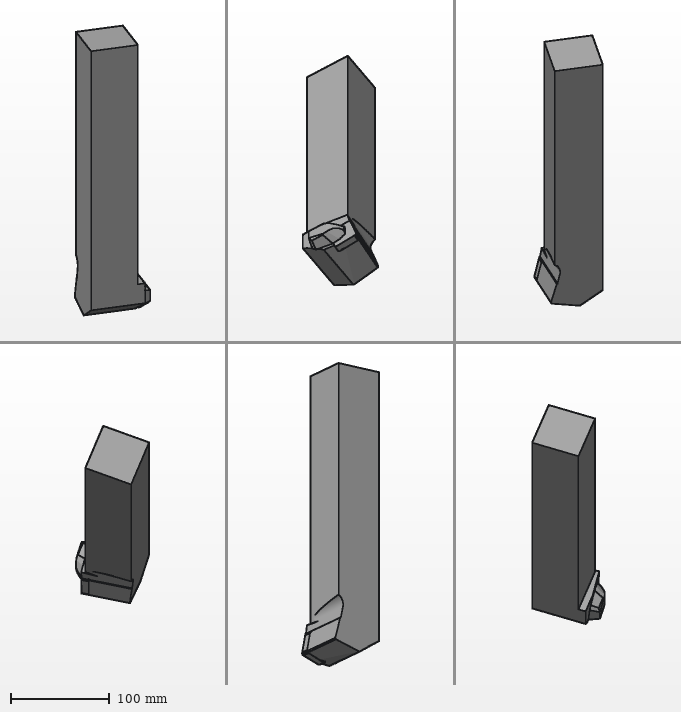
import cadquery as cq
import math

TOTAL_LENGTH = 307.2
SHANK_SIDE = 50.0

HEAD_TOP_Z = 40.2
HEAD_BOTTOM_Z = 2.0
HEAD_THICKNESS = 57.8
HEAD_REACH = 18.5
BEVEL_START_X = 26.5
BEVEL_END_Z = 18.0

INSERT_SIDE = 25.5
INSERT_THICKNESS = 7.7
INSERT_CORNER_RADIUS = 2.5
CUTTING_CORNER_X = -10.8
CUTTING_CORNER_Y = 50.0
APPROACH_ANGLE = 15.0
RAKE_ANGLE = 6.0

SEAT_CORNER_CHAMFER = 1.2
FLANK_STEP = 0.5
RUNOUT_RADIUS = 11.5
RUNOUT_U = 0.0
RUNOUT_V = 37.0
RELIEF_REACH = 92.2

CLAMP_BASE_Y = 49.0
CLAMP_TOP_Y = 68.0
CLAMP_APEX_X = 29.0
CLAMP_APEX_Y = 92.2
CLAMP_CENTRE_Z = 19.0
ROOF_RIDGE_HALF_WIDTH = 5.8
ROOF_HALF_WIDTH = 18.5
ROOF_EAVES_Y = 59.5
CLAMP_PLAN_Y = 55.3
CLAMP_HALF_PLAN = [(1.2, 3.0), (9.5, 9.8), (16.5, 12.5), (35.0, 12.5), (39.3, 9.0)]
NOSE_FOOT = (1.5, 55.3)
NOSE_MIDDLE = (7.5, 62.5)
NOSE_CREST = (16.0, 66.0)
TOP_END = (33.5, CLAMP_TOP_Y)


def tilted_frame():
    """Plane on the insert's outer face: u along its lower edge, v up its left edge, w into the head.

    Its height puts the lowest point of the insert's rounded lower corner at Z = 0.
    """
    slope = math.tan(math.radians(RAKE_ANGLE))
    turn = math.radians(APPROACH_ANGLE)
    lower_edge = cq.Vector(math.cos(turn), slope, -math.sin(turn))
    left_edge = cq.Vector(math.sin(turn), slope, math.cos(turn))
    inward = lower_edge.cross(left_edge)
    frame = cq.Plane(origin=(CUTTING_CORNER_X, CUTTING_CORNER_Y, 0), xDir=lower_edge, normal=inward)
    u_rise = frame.xDir.z
    v_rise = frame.yDir.z
    radius = INSERT_CORNER_RADIUS
    corner_centre_z = (INSERT_SIDE - radius) * u_rise + radius * v_rise
    lowest_z = corner_centre_z - radius * math.hypot(u_rise, v_rise)
    frame.origin = frame.origin - cq.Vector(0, 0, lowest_z)
    return frame


FRAME = tilted_frame()


def make_insert():
    """Rounded square plate whose outer face is flush with the head."""
    return (
        cq.Workplane(FRAME)
        .rect(INSERT_SIDE, INSERT_SIDE, centered=False)
        .extrude(INSERT_THICKNESS)
        .edges(cq.selectors.ParallelDirSelector(FRAME.zDir))
        .fillet(INSERT_CORNER_RADIUS)
    )


def make_shank():
    length = TOTAL_LENGTH - HEAD_TOP_Z
    return cq.Workplane(origin=(0, 0, HEAD_TOP_Z)).box(SHANK_SIDE, SHANK_SIDE, length, centered=False)


def make_head_blank():
    outline = [
        (-HEAD_REACH, HEAD_BOTTOM_Z),
        (BEVEL_START_X, HEAD_BOTTOM_Z),
        (SHANK_SIDE, BEVEL_END_Z),
        (SHANK_SIDE, HEAD_TOP_Z),
        (-HEAD_REACH, HEAD_TOP_Z),
    ]
    return cq.Workplane("XZ").polyline(outline).close().extrude(-HEAD_THICKNESS)


def make_flank_relief():
    """Everything left of and below the head's flanks, swept along the insert's normal."""
    outline = [
        (-RELIEF_REACH, -RELIEF_REACH),
        (RELIEF_REACH, -RELIEF_REACH),
        (RELIEF_REACH, 0),
        (SEAT_CORNER_CHAMFER, 0),
        (0, SEAT_CORNER_CHAMFER),
        (0, INSERT_SIDE - FLANK_STEP),
        (FLANK_STEP, INSERT_SIDE),
        (RUNOUT_U, RUNOUT_V),
        (-RELIEF_REACH, RUNOUT_V),
    ]
    flanks = cq.Workplane(FRAME).polyline(outline).close().extrude(RELIEF_REACH, both=True)
    runout = (
        cq.Workplane(FRAME)
        .center(RUNOUT_U - RUNOUT_RADIUS, RUNOUT_V)
        .circle(RUNOUT_RADIUS)
        .extrude(RELIEF_REACH, both=True)
    )
    return flanks.union(runout)


def make_space_above_face():
    """Block that fills the space outside the tilted outer face of the head."""
    return cq.Workplane(FRAME).rect(2 * RELIEF_REACH, 2 * RELIEF_REACH).extrude(-RELIEF_REACH)


def clamp_section(y):
    """Outline of the tapered clamp at one height, shrinking towards the apex."""
    scale = (CLAMP_APEX_Y - y) / (CLAMP_APEX_Y - CLAMP_PLAN_Y)
    plan = CLAMP_HALF_PLAN + [(x, -z) for x, z in reversed(CLAMP_HALF_PLAN)]
    corners = [
        cq.Vector(CLAMP_APEX_X + scale * (x - CLAMP_APEX_X), y, CLAMP_CENTRE_Z + scale * z)
        for x, z in plan
    ]
    return cq.Wire.makePolygon(corners, close=True)


def make_clamp():
    """Tapered lug with a curved nose and a bevelled roof, cut off at the tilted face it rests on."""
    sections = [clamp_section(CLAMP_BASE_Y), clamp_section(CLAMP_TOP_Y)]
    lug = cq.Workplane(cq.Solid.makeLoft(sections, True))
    side = (
        cq.Workplane("XY")
        .moveTo(NOSE_FOOT[0], CLAMP_BASE_Y)
        .lineTo(*NOSE_FOOT)
        .threePointArc(NOSE_MIDDLE, NOSE_CREST)
        .lineTo(*TOP_END)
        .lineTo(SHANK_SIDE, CLAMP_TOP_Y)
        .lineTo(SHANK_SIDE, CLAMP_BASE_Y)
        .close()
        .extrude(SHANK_SIDE)
    )
    half_roof = [
        (CLAMP_BASE_Y, ROOF_HALF_WIDTH),
        (ROOF_EAVES_Y, ROOF_HALF_WIDTH),
        (CLAMP_TOP_Y, ROOF_RIDGE_HALF_WIDTH),
    ]
    roof_outline = half_roof + [(y, -z) for y, z in reversed(half_roof)]
    roof = (
        cq.Workplane("YZ", origin=(0, 0, CLAMP_CENTRE_Z))
        .polyline(roof_outline)
        .close()
        .extrude(SHANK_SIDE)
    )
    return lug.intersect(side).intersect(roof).intersect(make_space_above_face())


def make_holder(insert):
    """Bar with its head, flanks, insert pocket and clamp."""
    bar = make_shank().union(make_head_blank().cut(make_space_above_face()))
    return bar.cut(make_flank_relief()).cut(insert).union(make_clamp())


insert = make_insert()
holder = make_holder(insert)

result = cq.Compound.makeCompound([holder.val(), insert.val()])